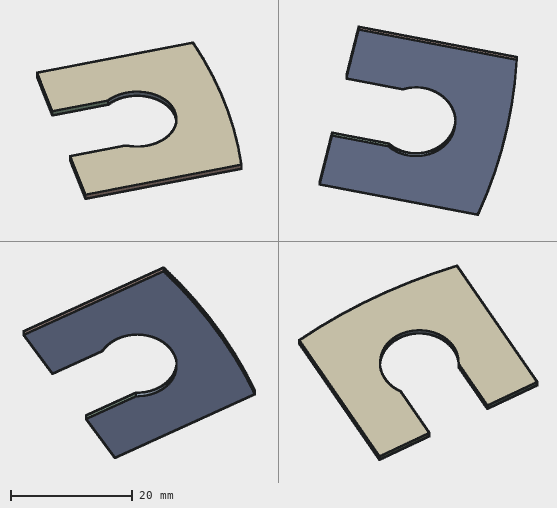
import cadquery as cq
import math

width = 30.0
length = 28.0
thickness = 1.0
crown_radius = 90.0
hole_diameter = 13.0
hole_to_crown = 15.0
slot_width = 11.0

half_width = width / 2
crown_rise = crown_radius - math.sqrt(crown_radius**2 - half_width**2)
shoulder_y = length - crown_rise
hole_y = length - hole_to_crown


def plate():
    """Flat plate with straight sides and a crowned +Y edge."""
    return (
        cq.Workplane("XY")
        .moveTo(-half_width, 0)
        .lineTo(half_width, 0)
        .lineTo(half_width, shoulder_y)
        .threePointArc((0, length), (-half_width, shoulder_y))
        .close()
        .extrude(thickness)
    )


def keyhole():
    """Round hole joined to a narrower slot that opens at the -Y edge."""
    hole = cq.Workplane("XY").center(0, hole_y).circle(hole_diameter / 2).extrude(thickness)
    slot = cq.Workplane("XY").center(0, hole_y / 2).rect(slot_width, hole_y).extrude(thickness)
    return hole.union(slot)


result = plate().cut(keyhole())